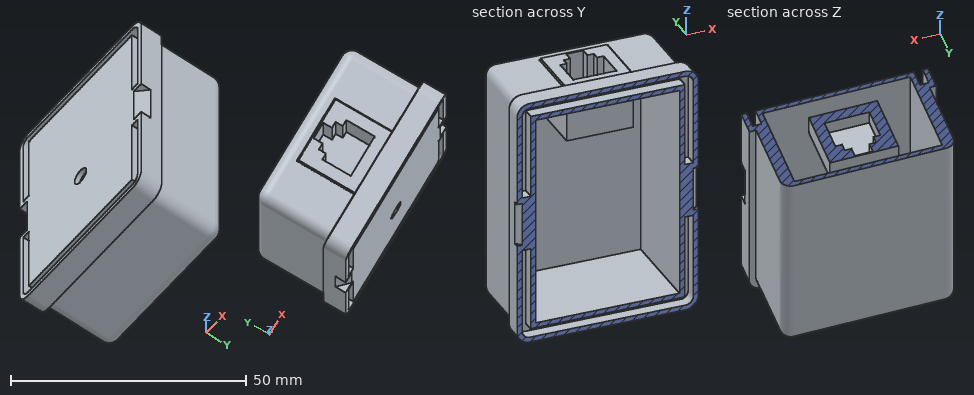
import cadquery as cq

base_width = 42.0
base_height = 58.0
base_depth = 5.5
base_corner_radius = 3.0
total_depth = 23.5

cover_width = 39.05
cover_height = 55.95
cover_radius = 2.5

wall_thickness = 1.3
plate_thickness = 1.3

rim_thickness = 1.3
groove_width = 1.9
groove_depth = 4.0
groove_gap = 12.9

notch_height = 10.0
notch_size = 2.55

hole_diameter = 4.0
hole_z = -5.55

opening_width = 15.9
opening_back = 19.85
jack_clearance = 0.25
jack_height = 0.4
clearance_depth = 1.0

socket_front = 8.25
socket_steps = [(5.0, 15.25), (3.5, 17.0), (2.0, 19.2)]
socket_depth = 11.6

cover_top = cover_height / 2
groove_outer_width = base_width - 2 * rim_thickness
groove_outer_height = base_height - 2 * rim_thickness
pad_width = groove_outer_width - 2 * groove_width
pad_height = groove_outer_height - 2 * groove_width
jack_width = opening_width - 2 * jack_clearance
jack_back = opening_back - jack_clearance
jack_top = cover_top + jack_height


def block(width, height, front, back):
    """Box centred on X and Z, spanning front to back along Y."""
    depth = back - front
    return cq.Workplane("XY").box(width, depth, height).translate((0, front + depth / 2, 0))


def upright_block(width, front, back, bottom, top):
    """Box centred on X, spanning the given Y and Z ranges."""
    return block(width, top - bottom, front, back).translate((0, 0, (bottom + top) / 2))


def make_base():
    return block(base_width, base_height, 0, base_depth).edges("|Y").fillet(base_corner_radius)


def make_cover():
    cover = block(cover_width, cover_height, base_depth, total_depth)
    return cover.edges("|Y or >Y").fillet(cover_radius)


def make_cavity():
    """Interior of the housing, leaving a wall around it inside the grooved pad."""
    inset = 2 * wall_thickness
    return block(pad_width - inset, pad_height - inset, plate_thickness, total_depth - wall_thickness)


def make_groove():
    outer = block(groove_outer_width, groove_outer_height, 0, groove_depth)
    outer = outer.edges("|Y").fillet(base_corner_radius - rim_thickness)
    pad = block(pad_width, pad_height, 0, groove_depth)
    bridge = block(groove_outer_width, groove_gap, 0, groove_depth)
    return outer.cut(pad).cut(bridge)


def make_notch(side):
    """Triangular wedge on one long side: side is -1 for left, 1 for right."""
    outer_x = side * base_width / 2
    inner_x = side * (base_width / 2 - notch_size)
    profile = cq.Workplane("XY").polyline([(outer_x, 0), (inner_x, 0), (outer_x, notch_size)]).close()
    return profile.extrude(notch_height / 2, both=True)


def make_screw_hole():
    return cq.Workplane("XZ").center(0, hole_z).circle(hole_diameter / 2).extrude(-plate_thickness)


def make_socket():
    right_side = []
    level = socket_front
    for half_width, step_back in socket_steps:
        right_side += [(half_width, level), (half_width, step_back)]
        level = step_back
    left_side = [(-x, y) for x, y in reversed(right_side)]
    outline = cq.Workplane("XY").workplane(offset=jack_top).polyline(right_side + left_side).close()
    return outline.extrude(-socket_depth)


def make_clearance():
    return upright_block(opening_width, base_depth, opening_back, cover_top - clearance_depth, cover_top)


def make_jack():
    jack_bottom = jack_top - socket_depth - wall_thickness
    return upright_block(jack_width, base_depth, jack_back, jack_bottom, jack_top)


result = make_base().union(make_cover())
result = result.cut(make_cavity()).cut(make_clearance())
result = result.union(make_jack()).cut(make_socket())
result = result.cut(make_groove()).cut(make_screw_hole())
for side in (-1, 1):
    result = result.cut(make_notch(side))